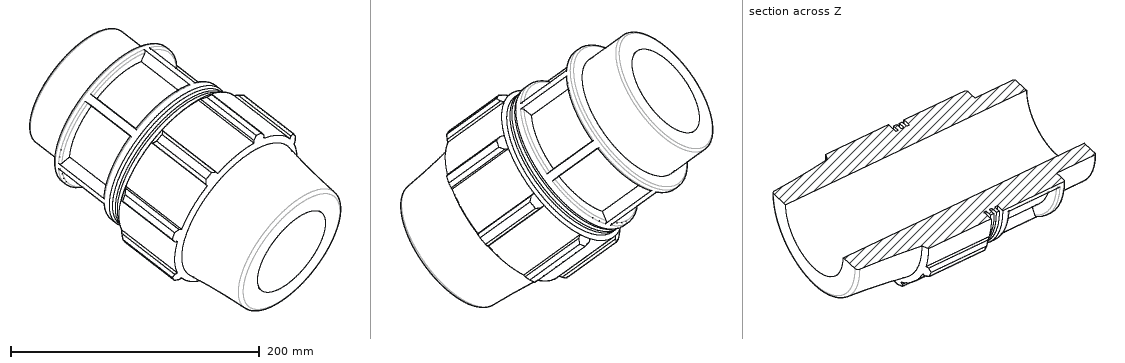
import cadquery as cq
import math

TOTAL_LENGTH = 239.0
BORE_RADIUS = 79.0 / 2

SPIGOT_RADIUS = 113.0 / 2
EDGE_FILLET = 2.0

FLANGE_RADIUS = 136.7 / 2
BAND_START = 39.2
BAND_END = 101.3
RECESS_START = 46.5
RECESS_END = 94.2
RECESS_RADIUS = 57.5
BODY_RIB_COUNT = 6
BODY_RIB_WIDTH = 7.2

NECK_RADIUS = 121.7 / 2
DISC_RADIUS = 134.0 / 2
DISC_SPANS = [(103.7, 106.8), (109.0, 112.5)]

NUT_START = 114.5
NUT_RADIUS = 71.0
SHOULDER_START = 176.9
SHOULDER_END = 179.2
SLEEVE_START_RADIUS = 65.2
SLEEVE_END_RADIUS = 58.8
SLEEVE_HOLLOW = 0.7
SLEEVE_FILLET = 2.9

GRIP_COUNT = 8
GRIP_TOP = 76.0
GRIP_TOP_WIDTH = 7.0
GRIP_SIDE_TOP = 73.0
GRIP_BASE_WIDTH = 13.0


def ring(start, end, radius):
    """Solid disc about the X axis between two positions."""
    return cq.Workplane("YZ", origin=(start, 0, 0)).circle(radius).extrude(end - start)


def around_axis(shape, count, first_angle):
    """Union of copies of a shape spaced evenly about the X axis."""
    copies = cq.Workplane("YZ")
    for index in range(count):
        angle = first_angle + index * 360 / count
        copies = copies.add(shape.rotate((0, 0, 0), (1, 0, 0), angle))
    return copies.combine()


def make_spigot():
    return ring(0, BAND_START, SPIGOT_RADIUS).faces("<X").edges().fillet(EDGE_FILLET)


def make_body_band():
    left_flange = ring(BAND_START, RECESS_START, FLANGE_RADIUS).edges().fillet(EDGE_FILLET)
    right_flange = ring(RECESS_END, BAND_END, FLANGE_RADIUS).faces("<X").edges().fillet(EDGE_FILLET)
    core = ring(BAND_START, BAND_END, RECESS_RADIUS)

    rib_start = RECESS_START - EDGE_FILLET
    rib_end = RECESS_END + EDGE_FILLET
    rib = cq.Workplane("XY").box(
        rib_end - rib_start, BODY_RIB_WIDTH, FLANGE_RADIUS, centered=(False, True, False)
    ).translate((rib_start, 0, 0))
    ribs = around_axis(rib, BODY_RIB_COUNT, 360 / BODY_RIB_COUNT / 2)
    ribs = ribs.intersect(ring(rib_start, rib_end, FLANGE_RADIUS))
    return core.union(left_flange).union(right_flange).union(ribs)


def make_neck():
    neck = ring(BAND_END, NUT_START, NECK_RADIUS)
    for start, end in DISC_SPANS:
        neck = neck.union(ring(start, end, DISC_RADIUS))
    return neck


def make_sleeve():
    sleeve_middle = (
        (SHOULDER_END + TOTAL_LENGTH) / 2,
        (SLEEVE_START_RADIUS + SLEEVE_END_RADIUS) / 2 - SLEEVE_HOLLOW,
    )
    sleeve = (
        cq.Workplane("XY")
        .moveTo(SHOULDER_END, 0)
        .lineTo(SHOULDER_END, SLEEVE_START_RADIUS)
        .threePointArc(sleeve_middle, (TOTAL_LENGTH, SLEEVE_END_RADIUS))
        .lineTo(TOTAL_LENGTH, 0)
        .close()
        .revolve(360, (0, 0, 0), (1, 0, 0))
    )
    return sleeve.faces(">X").edges().fillet(SLEEVE_FILLET)


def make_grip_ribs():
    """Grip ribs with square ends, reaching in to the axis."""
    rib = (
        cq.Workplane("YZ", origin=(NUT_START, 0, 0))
        .moveTo(-GRIP_BASE_WIDTH / 2, 0)
        .lineTo(-GRIP_BASE_WIDTH / 2, GRIP_SIDE_TOP)
        .lineTo(-GRIP_TOP_WIDTH / 2, GRIP_TOP)
        .lineTo(GRIP_TOP_WIDTH / 2, GRIP_TOP)
        .lineTo(GRIP_BASE_WIDTH / 2, GRIP_SIDE_TOP)
        .lineTo(GRIP_BASE_WIDTH / 2, 0)
        .close()
        .extrude(SHOULDER_END - NUT_START)
    )
    return around_axis(rib, GRIP_COUNT, 360 / GRIP_COUNT / 2)


def make_nut():
    limit_radius = math.hypot(GRIP_TOP, GRIP_TOP_WIDTH / 2)
    rise = limit_radius - NUT_RADIUS
    shoulder_slope = (NUT_RADIUS - SLEEVE_START_RADIUS) / (SHOULDER_END - SHOULDER_START)
    envelope = (
        cq.Workplane("XY")
        .moveTo(NUT_START, 0)
        .lineTo(NUT_START, NUT_RADIUS)
        .lineTo(NUT_START + rise, limit_radius)
        .lineTo(SHOULDER_START - rise / shoulder_slope, limit_radius)
        .lineTo(SHOULDER_END, SLEEVE_START_RADIUS)
        .lineTo(SHOULDER_END, 0)
        .close()
        .revolve(360, (0, 0, 0), (1, 0, 0))
    )
    return ring(NUT_START, SHOULDER_END, NUT_RADIUS).union(make_grip_ribs()).intersect(envelope)


bore = ring(0, TOTAL_LENGTH, BORE_RADIUS)

result = (
    make_spigot()
    .union(make_body_band())
    .union(make_neck())
    .union(make_nut())
    .union(make_sleeve())
    .cut(bore)
)